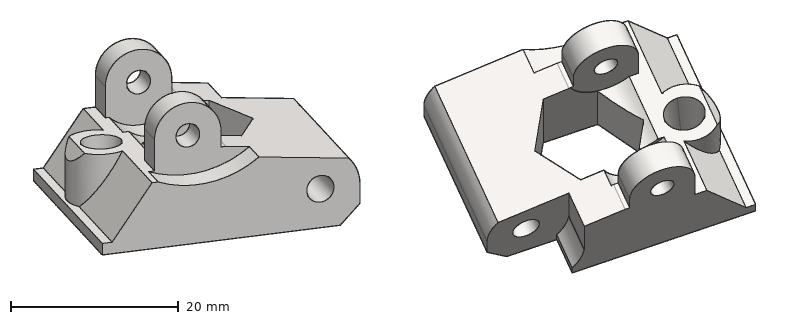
import cadquery as cq
import math

WIDTH = 25.5
LENGTH = 32.5
OVERLAP = 0.32

LEDGE_HEIGHT = 8.48
LEDGE_FRONT = 6.27
SLOPE_FOOT = 0.15
TOE_LENGTH = 1.95
TOE_HEIGHT = 1.5

LUG_RADIUS = 4.2
LUG_WIDTH = 3.75
LUG_Y = 12.0
LUG_Z = 12.5
LUG_STARTS = (0, 18.23)
LUG_HOLE = 3.0
RIGHT_LUG_END = LUG_STARTS[1] + LUG_WIDTH

CREST_HEIGHT = 10.5
CREST_Y = 16.77
TOP_SLOPE_DEGREES = 8

HINGE_RADIUS = 5.0
HINGE_Y = LENGTH - HINGE_RADIUS
HINGE_Z = HINGE_RADIUS
HINGE_HOLE = 3.4
REAR_CHAMFER = 2.5

NOTCH_WIDTH = 5.0
NOTCH_RADIUS = 5.5
NOTCH_FLOOR_Y = 23.55
NOTCH_BOX_Z = 4.42

LEFT_TROUGH_RADIUS = 5.5
MAIN_TROUGH_RADIUS = 5.0
TROUGH_STEP_X = 8.85

SCOOP_RADIUS = 13.0
SCOOP_Z = 20.5

HEX_X = 12.12
HEX_Y = 16.58
HEX_CORNER_RADIUS = 7.0

BOSS_X = 11.0
BOSS_Y = 4.5
BOSS_RADIUS = 4.0
BOSS_BEVEL_Y = 1.72
BOSS_HOLE = 3.4
MOUTH_WIDTH = 4.6
MOUTH_LENGTH = 5.05
MOUTH_OFFSET = 0.32


def x_cylinder(radius, y, z, x_start, x_end):
    """Solid cylinder whose axis runs along X."""
    return (
        cq.Workplane("YZ", origin=(x_start, y, z))
        .circle(radius)
        .extrude(x_end - x_start)
    )


def box(x_start, x_end, y_start, y_end, z_start, z_end):
    """Axis-aligned box between two opposite corners."""
    size = (x_end - x_start, y_end - y_start, z_end - z_start)
    return cq.Workplane("XY", origin=(x_start, y_start, z_start)).box(*size, centered=False)


def make_body():
    """Side profile along the full width, plus the toe strip at the front."""
    angle = math.radians(TOP_SLOPE_DEGREES)
    height_over_axis = CREST_HEIGHT - (HINGE_Y - CREST_Y) * math.tan(angle) - HINGE_Z
    distance = height_over_axis * math.cos(angle)
    meet_angle = math.pi / 2 - angle - math.acos(distance / HINGE_RADIUS)

    def on_barrel(direction):
        return (
            HINGE_Y + HINGE_RADIUS * math.cos(direction),
            HINGE_Z + HINGE_RADIUS * math.sin(direction),
        )

    profile = (
        cq.Workplane("YZ")
        .moveTo(SLOPE_FOOT, 0)
        .lineTo(LEDGE_FRONT, LEDGE_HEIGHT)
        .lineTo(LUG_Y, LEDGE_HEIGHT)
        .lineTo(LUG_Y, CREST_HEIGHT)
        .lineTo(CREST_Y, CREST_HEIGHT)
        .lineTo(*on_barrel(meet_angle))
        .threePointArc(on_barrel(meet_angle / 2), on_barrel(0))
        .lineTo(LENGTH, REAR_CHAMFER)
        .lineTo(LENGTH - REAR_CHAMFER, 0)
        .close()
    )
    toe = box(0, WIDTH, 0, TOE_LENGTH, 0, TOE_HEIGHT)
    return profile.extrude(WIDTH).union(toe)


def make_notch():
    """Clearance at the left end of the hinge barrel, round around its pin axis."""
    left = -OVERLAP
    round_part = x_cylinder(NOTCH_RADIUS, HINGE_Y, HINGE_Z, left, NOTCH_WIDTH)
    upper = box(left, NOTCH_WIDTH, HINGE_Y - NOTCH_RADIUS, LENGTH, NOTCH_BOX_Z, CREST_HEIGHT)
    rear = box(left, NOTCH_WIDTH, NOTCH_FLOOR_Y, LENGTH + OVERLAP, -OVERLAP, CREST_HEIGHT)
    return round_part.union(upper).union(rear)


def make_lug(x_start):
    """Upright ear with a rounded top."""
    x_end = x_start + LUG_WIDTH
    upright = box(x_start, x_end, LUG_Y - LUG_RADIUS, LUG_Y + LUG_RADIUS, 0, LUG_Z)
    return upright.union(x_cylinder(LUG_RADIUS, LUG_Y, LUG_Z, x_start, x_end))


def make_boss():
    """Vertical post, bevelled at the front parallel to the sloped face."""
    post = cq.Workplane("XY", origin=(BOSS_X, BOSS_Y, 0)).circle(BOSS_RADIUS).extrude(LEDGE_HEIGHT)
    steepness = LEDGE_HEIGHT / (LEDGE_FRONT - SLOPE_FOOT)
    envelope = (
        cq.Workplane("YZ")
        .moveTo(BOSS_BEVEL_Y, LEDGE_HEIGHT)
        .lineTo(BOSS_Y + BOSS_RADIUS, LEDGE_HEIGHT)
        .lineTo(BOSS_Y + BOSS_RADIUS, 0)
        .lineTo(0, 0)
        .lineTo(0, LEDGE_HEIGHT - BOSS_BEVEL_Y * steepness)
        .close()
        .extrude(WIDTH)
    )
    return post.intersect(envelope)


def make_boss_hole():
    """Screw hole that widens upwards from a circle to an ellipse set slightly back."""
    return (
        cq.Workplane("XY", origin=(BOSS_X, BOSS_Y, 0))
        .circle(BOSS_HOLE / 2)
        .workplane(offset=LEDGE_HEIGHT)
        .center(0, MOUTH_OFFSET)
        .ellipse(MOUTH_WIDTH / 2, MOUTH_LENGTH / 2)
        .loft(ruled=True)
    )


def make_hexagon():
    """Hexagonal prism with two corners on the Y direction."""
    return (
        cq.Workplane("XY", origin=(HEX_X, HEX_Y, 0))
        .polygon(6, 2 * HEX_CORNER_RADIUS)
        .extrude(CREST_HEIGHT)
        .rotate((HEX_X, HEX_Y, 0), (HEX_X, HEX_Y, 1), 90)
    )


result = make_body().union(make_boss())
result = result.cut(make_notch()).cut(make_hexagon())

result = result.cut(x_cylinder(LEFT_TROUGH_RADIUS, LUG_Y, LUG_Z, LUG_WIDTH, TROUGH_STEP_X))
result = result.cut(x_cylinder(MAIN_TROUGH_RADIUS, LUG_Y, LUG_Z, TROUGH_STEP_X, LUG_STARTS[1]))
result = result.cut(x_cylinder(SCOOP_RADIUS, LUG_Y, SCOOP_Z, RIGHT_LUG_END, WIDTH))

for lug_start in LUG_STARTS:
    result = result.union(make_lug(lug_start))

result = result.cut(x_cylinder(LUG_HOLE / 2, LUG_Y, LUG_Z, 0, WIDTH))
result = result.cut(x_cylinder(HINGE_HOLE / 2, HINGE_Y, HINGE_Z, 0, WIDTH))
result = result.cut(make_boss_hole())